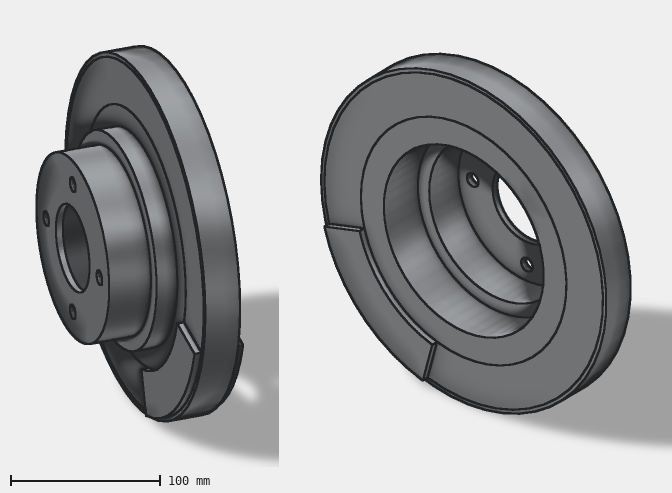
import cadquery as cq
import math

disc_diameter = 250
disc_thickness = 25
friction_outer_diameter = 244.0
friction_inner_diameter = 180
friction_rise = 0.1
hub_shoulder_diameter = 150
hub_shoulder_height = 15
hat_diameter = 130
hat_height = 30
shoulder_cavity_diameter = 140
hat_cavity_diameter = 120
hat_face_thickness = 5
bore_diameter = 60
bolt_hole_diameter = 10
bolt_circle_diameter = 95
bolt_count = 4
pad_thickness = 5
pad_middle_angle = -45
pad_span_angle = 60

back_face = disc_thickness / 2
front_face = -back_face
shoulder_face = front_face - hub_shoulder_height
hat_face = shoulder_face - hat_height
hat_cavity_floor = hat_face + hat_face_thickness
shoulder_cavity_floor = shoulder_face + hat_face_thickness


def cylinder(diameter, front, back):
    """Cylinder about the Y axis between two stations."""
    return cq.Workplane("XZ", origin=(0, back, 0)).circle(diameter / 2).extrude(back - front)


def polar_point(radius, angle):
    """Point in the XZ plane at an angle in degrees from +X towards +Z."""
    return radius * math.cos(math.radians(angle)), radius * math.sin(math.radians(angle))


def ring_sector(front, thickness, middle_angle, span_angle):
    """Sector of the friction ring, extending towards +Y from the given station."""
    inner_radius = friction_inner_diameter / 2
    outer_radius = friction_outer_diameter / 2
    start_angle = middle_angle - span_angle / 2
    end_angle = middle_angle + span_angle / 2
    return (
        cq.Workplane("XZ", origin=(0, front + thickness, 0))
        .moveTo(*polar_point(inner_radius, start_angle))
        .lineTo(*polar_point(outer_radius, start_angle))
        .threePointArc(polar_point(outer_radius, middle_angle), polar_point(outer_radius, end_angle))
        .lineTo(*polar_point(inner_radius, end_angle))
        .threePointArc(polar_point(inner_radius, middle_angle), polar_point(inner_radius, start_angle))
        .close()
        .extrude(thickness)
    )


def make_friction_face(front):
    """Thin raised face covering the ring outside the pad sector."""
    return ring_sector(front, friction_rise, pad_middle_angle + 180, 360 - pad_span_angle)


def make_pad(front):
    """Brake pad whose -Y face lies at the given station."""
    return ring_sector(front, pad_thickness, pad_middle_angle, pad_span_angle)


def make_rotor():
    """Brake disc with raised friction faces and a hollow bolted hub."""
    rotor = (
        cylinder(disc_diameter, front_face, back_face)
        .union(make_friction_face(front_face - friction_rise))
        .union(make_friction_face(back_face))
        .union(cylinder(hub_shoulder_diameter, shoulder_face, front_face))
        .union(cylinder(hat_diameter, hat_face, shoulder_face))
        .cut(cylinder(shoulder_cavity_diameter, shoulder_cavity_floor, back_face))
        .cut(cylinder(hat_cavity_diameter, hat_cavity_floor, back_face))
        .cut(cylinder(bore_diameter, hat_face, back_face))
    )
    bolt_holes = (
        cq.Workplane("XZ", origin=(0, back_face, 0))
        .polarArray(bolt_circle_diameter / 2, 0, 360, bolt_count)
        .circle(bolt_hole_diameter / 2)
        .extrude(back_face - hat_face)
    )
    return rotor.cut(bolt_holes)


rotor = make_rotor()
pad_fronts = [front_face - pad_thickness, back_face]
pads = [make_pad(front).val() for front in pad_fronts]

result = cq.Compound.makeCompound([rotor.val(), *pads])